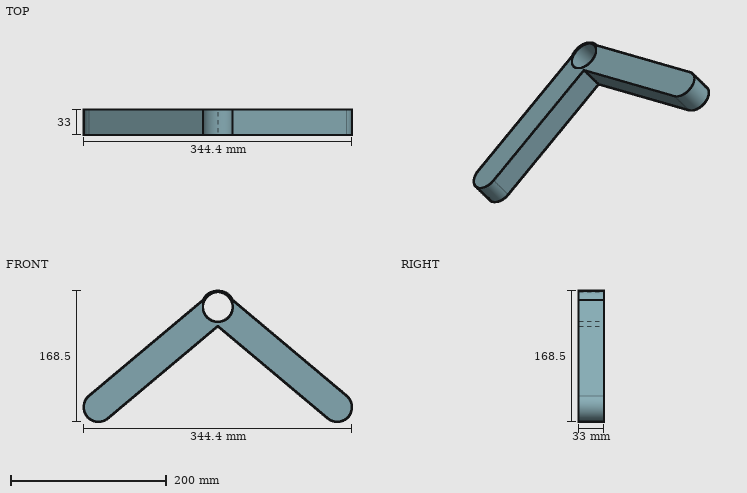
import cadquery as cq

thickness = 33.0
arm_length = 200.0
arm_slope = 40.0
arm_width = 38.0
hub_radius = 20.9
bore_diameter = arm_width


def hub_cylinder(radius):
    """Full-thickness cylinder about the Y axis, centred on the origin."""
    return cq.Workplane("XZ").circle(radius).extrude(thickness / 2, both=True)


def arm(tilt):
    """Round-ended arm along +X from the hub axis, turned about Y by tilt degrees."""
    bar = (
        cq.Workplane("XZ")
        .center(arm_length / 2, 0)
        .slot2D(arm_length + arm_width, arm_width)
        .extrude(thickness / 2, both=True)
    )
    return bar.rotate((0, 0, 0), (0, 1, 0), tilt)


body = hub_cylinder(hub_radius)
for tilt in (arm_slope, 180 - arm_slope):
    body = body.union(arm(tilt))

result = body.cut(hub_cylinder(bore_diameter / 2))